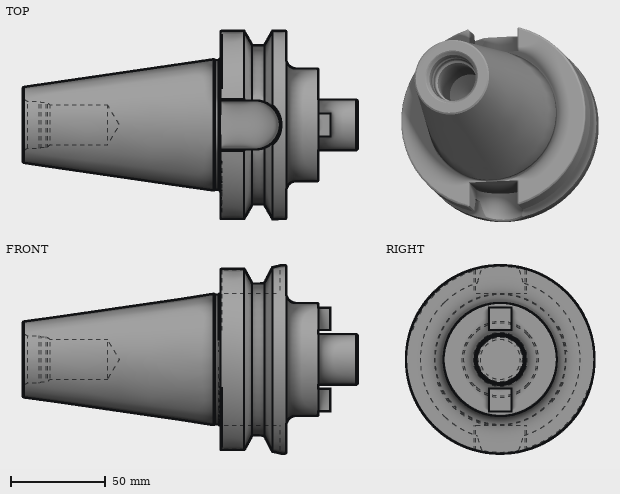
import cadquery as cq
import math


GAUGE_DIAMETER = 69.85
SHANK_LENGTH = 101.8
TAPER_SLOPE = 7 / 48
SHANK_END_CHAMFER = 0.8
TAPER_TOP_X = -0.6
NECK_START_X = 0.2
NECK_RADIUS = 34.5
NECK_FILLET = 1.0

FLANGE_START_X = 3.0
FLANGE_END_X = 38.0
FLANGE_RADIUS = 50.0
FLANGE_EDGE_FILLET = 1.0
GROOVE_CENTER_X = 23.1
GROOVE_RADIUS = 42.3
GROOVE_STEP_RADIUS = 43.3
GROOVE_FLOOR_WIDTH = 6.4
GROOVE_STEP_RUN = 0.45
GROOVE_WALL_ANGLE = 30.0

SLOT_WIDTH = 26.0
SLOT_FLOOR_RADIUS = 35.0
SLOT_END_X = 34.6
SLOT_EDGE_CHAMFER = 0.8

NOSE_RADIUS = 30.0
NOSE_END_X = 55.0
NOSE_ROOT_FILLET = 5.0
NOSE_FILLET = 1.0
PILOT_RADIUS = 13.5
PILOT_LENGTH = 21.0
PILOT_CHAMFER = 1.0
KEY_WIDTH = 12.0
KEY_HEIGHT = 6.3
KEY_INNER_Z = 15.5
KEY_OUTER_Z = 27.5

MOUTH_RADIUS = 14.3
MOUTH_CHAMFER = 0.5
COUNTERSINK_DEPTH = 2.6
GUIDE_RADIUS = 12.5
GUIDE_DEPTH = 8.8
THREAD_RADIUS = 12.0
THREAD_START_DEPTH = 9.9
THREAD_END_DEPTH = 12.4
RUNOUT_RADIUS = 11.7
RUNOUT_DEPTH = 13.3
CORE_RADIUS = 10.6
CORE_START_DEPTH = 14.5
CORE_DEPTH = 45.0
DRILL_POINT_ANGLE = 118.0

SHANK_END_X = -SHANK_LENGTH
PILOT_END_X = NOSE_END_X + PILOT_LENGTH

EDGE_TOLERANCE = 0.01


def taper_radius(x):
    return GAUGE_DIAMETER / 2 + x * TAPER_SLOPE


def round_corner(outline, start, end, center):
    """Add a line to start, then a 90 degree arc about center from start to end."""
    radius = math.dist(start, center)
    corner = (start[0] + end[0] - center[0], start[1] + end[1] - center[1])
    reach = radius / math.dist(corner, center)
    middle = tuple(c + (k - c) * reach for c, k in zip(center, corner))
    return outline.lineTo(*start).threePointArc(middle, end)


def make_body():
    """Revolve the outer profile about the X axis."""
    wall_slope = math.tan(math.radians(GROOVE_WALL_ANGLE))
    left_wall_run = (FLANGE_RADIUS - GROOVE_STEP_RADIUS) * wall_slope
    right_wall_run = (FLANGE_RADIUS - GROOVE_RADIUS) * wall_slope
    floor_left = GROOVE_CENTER_X - GROOVE_FLOOR_WIDTH / 2
    floor_right = GROOVE_CENTER_X + GROOVE_FLOOR_WIDTH / 2
    step_x = floor_left - GROOVE_STEP_RUN
    chamfer_x = SHANK_END_X + SHANK_END_CHAMFER

    neck_x = FLANGE_START_X - NECK_FILLET
    neck_r = NECK_RADIUS + NECK_FILLET
    rim_left_x = FLANGE_START_X + FLANGE_EDGE_FILLET
    rim_right_x = FLANGE_END_X - FLANGE_EDGE_FILLET
    rim_r = FLANGE_RADIUS - FLANGE_EDGE_FILLET
    root_x = FLANGE_END_X + NOSE_ROOT_FILLET
    root_r = NOSE_RADIUS + NOSE_ROOT_FILLET
    nose_x = NOSE_END_X - NOSE_FILLET
    nose_r = NOSE_RADIUS - NOSE_FILLET

    outline = (
        cq.Workplane("XY")
        .moveTo(SHANK_END_X, 0)
        .lineTo(SHANK_END_X, taper_radius(chamfer_x) - SHANK_END_CHAMFER)
        .lineTo(chamfer_x, taper_radius(chamfer_x))
        .lineTo(TAPER_TOP_X, taper_radius(TAPER_TOP_X))
        .lineTo(NECK_START_X, NECK_RADIUS)
    )
    outline = round_corner(outline, (neck_x, NECK_RADIUS), (FLANGE_START_X, neck_r), (neck_x, neck_r))

    outline = round_corner(
        outline, (FLANGE_START_X, rim_r), (rim_left_x, FLANGE_RADIUS), (rim_left_x, rim_r)
    )
    outline = (
        outline.lineTo(step_x - left_wall_run, FLANGE_RADIUS)
        .lineTo(step_x, GROOVE_STEP_RADIUS)
        .lineTo(floor_left, GROOVE_RADIUS)
        .lineTo(floor_right, GROOVE_RADIUS)
        .lineTo(floor_right + right_wall_run, FLANGE_RADIUS)
    )
    outline = round_corner(
        outline, (rim_right_x, FLANGE_RADIUS), (FLANGE_END_X, rim_r), (rim_right_x, rim_r)
    )

    outline = round_corner(outline, (FLANGE_END_X, root_r), (root_x, NOSE_RADIUS), (root_x, root_r))
    outline = round_corner(outline, (nose_x, NOSE_RADIUS), (NOSE_END_X, nose_r), (nose_x, nose_r))
    outline = (
        outline.lineTo(NOSE_END_X, PILOT_RADIUS)
        .lineTo(PILOT_END_X - PILOT_CHAMFER, PILOT_RADIUS)
        .lineTo(PILOT_END_X, PILOT_RADIUS - PILOT_CHAMFER)
        .lineTo(PILOT_END_X, 0)
        .close()
    )
    return outline.revolve(360, (0, 0, 0), (1, 0, 0))


def make_bore():
    """Stepped pull stud bore with a conical bottom."""
    point_length = CORE_RADIUS / math.tan(math.radians(DRILL_POINT_ANGLE / 2))
    steps = [
        (0, 0),
        (0, MOUTH_RADIUS),
        (MOUTH_CHAMFER, MOUTH_RADIUS - MOUTH_CHAMFER),
        (COUNTERSINK_DEPTH, GUIDE_RADIUS),
        (GUIDE_DEPTH, GUIDE_RADIUS),
        (THREAD_START_DEPTH, THREAD_RADIUS),
        (THREAD_END_DEPTH, THREAD_RADIUS),
        (RUNOUT_DEPTH, RUNOUT_RADIUS),
        (CORE_START_DEPTH, CORE_RADIUS),
        (CORE_DEPTH, CORE_RADIUS),
        (CORE_DEPTH + point_length, 0),
    ]
    profile = cq.Workplane("XY").polyline(steps).close()
    return profile.revolve(360, (0, 0, 0), (1, 0, 0)).translate((SHANK_END_X, 0, 0))


def make_slot(side):
    """Round-ended drive slot, on the +Z (side = 1) or -Z (side = -1) part of the flange."""
    half_width = SLOT_WIDTH / 2
    arc_center_x = SLOT_END_X - half_width
    outline = (
        cq.Workplane("XY")
        .workplane(offset=side * SLOT_FLOOR_RADIUS)
        .moveTo(0, -half_width)
        .lineTo(arc_center_x, -half_width)
        .threePointArc((SLOT_END_X, 0), (arc_center_x, half_width))
        .lineTo(0, half_width)
        .close()
    )
    return outline.extrude(side * FLANGE_RADIUS)


def make_key(side):
    """Drive key standing on the nose face."""
    key_length = KEY_OUTER_Z - KEY_INNER_Z
    center_x = NOSE_END_X + KEY_HEIGHT / 2
    center_z = side * (KEY_INNER_Z + KEY_OUTER_Z) / 2
    return cq.Workplane("XY").box(KEY_HEIGHT, KEY_WIDTH, key_length).translate((center_x, 0, center_z))


def chamfer_slot_edges(part):
    """Break the slot edges on the flange rim and on the shank-side flange face."""
    half_width = SLOT_WIDTH / 2

    def is_slot_edge(edge):
        ends = (edge.startPoint(), edge.endPoint())
        if ends[0].z * ends[1].z < 0:
            return False
        if any(abs(p.y) > half_width + EDGE_TOLERANCE for p in ends):
            return False
        if any(abs(p.z) < SLOT_FLOOR_RADIUS - EDGE_TOLERANCE for p in ends):
            return False
        on_side_wall = all(abs(abs(p.y) - half_width) < EDGE_TOLERANCE for p in ends)
        on_shank_side = edge.Center().x < FLANGE_START_X + FLANGE_EDGE_FILLET
        on_rim = all(abs(math.hypot(p.y, p.z) - FLANGE_RADIUS) < EDGE_TOLERANCE for p in ends)
        return on_rim or (on_side_wall and on_shank_side)

    edges = [edge for edge in part.edges().vals() if is_slot_edge(edge)]
    return part.newObject(edges).chamfer(SLOT_EDGE_CHAMFER)


result = make_body().cut(make_bore())
for side in (1, -1):
    result = result.cut(make_slot(side))
result = chamfer_slot_edges(result)
for side in (1, -1):
    result = result.union(make_key(side))